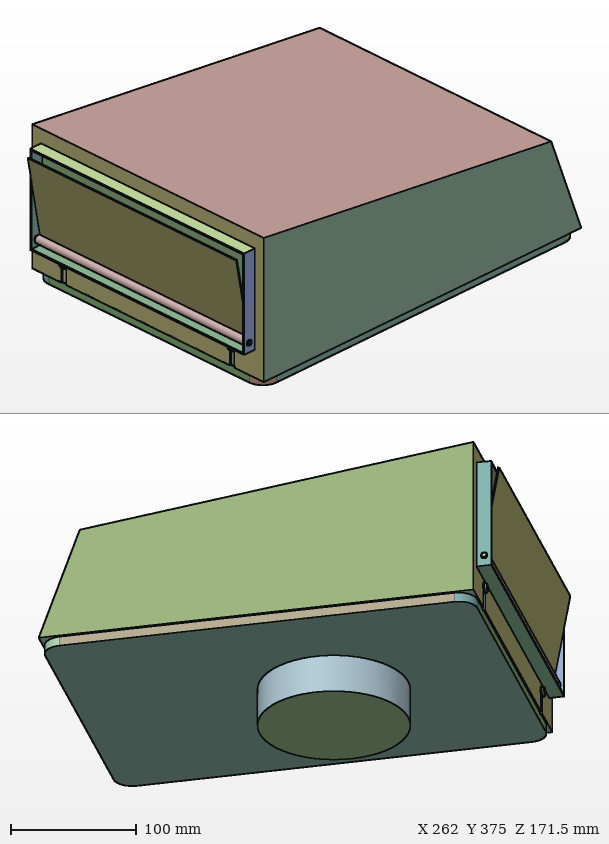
import cadquery as cq
import math


width = 262.0
base_depth = 357.0
front_height = 131.5
back_height = 92.3
back_lean = 33.8

plate_side_inset = 2.3
plate_end_inset = 1.0
plate_thickness = 8.0
plate_corner_radius = 15.5

duct_diameter = 122.0
duct_length = 32.0
duct_setback = 147.0

frame_width = 241.5
frame_height = 92.5
frame_bottom = 25.5
frame_depth = 12.0
frame_wall = 1.5

flap_width = 235.5
flap_thickness = 1.0
flap_tip_reach = 18.0
flap_tip_height = 113.0
tube_radius = 3.8
tube_reach = 6.5
tube_height = 34.5
pin_radius = 2.5
pin_overhang = 1.0
pin_end_chamfer = 0.8

screw_spacing = 190.2
screw_height = 18.8
screw_head_radius = 4.5
screw_head_height = 2.5
screw_head_chamfer = 1.5
socket_width = 3.0
socket_depth = 1.5
slot_width = 5.5
slot_depth = 2.0


def x_cylinder(radius, length):
    """Cylinder along X, centred on the flap hinge axis."""
    return (
        cq.Workplane("YZ", origin=(-length / 2, -tube_reach, tube_height))
        .circle(radius)
        .extrude(length)
    )


def make_housing():
    profile = [
        (0, 0),
        (base_depth, 0),
        (base_depth - back_lean, back_height),
        (0, front_height),
    ]
    return cq.Workplane("YZ", origin=(-width / 2, 0, 0)).polyline(profile).close().extrude(width)


def make_plate():
    return (
        cq.Workplane("XY", origin=(0, base_depth / 2, -plate_thickness))
        .rect(width - 2 * plate_side_inset, base_depth - 2 * plate_end_inset)
        .extrude(plate_thickness)
        .edges("|Z")
        .fillet(plate_corner_radius)
    )


def make_duct():
    return (
        cq.Workplane("XY", origin=(0, duct_setback, -plate_thickness))
        .circle(duct_diameter / 2)
        .extrude(-duct_length)
    )


def make_frame():
    return (
        cq.Workplane("XZ", origin=(0, 0, frame_bottom + frame_height / 2))
        .rect(frame_width, frame_height)
        .rect(frame_width - 2 * frame_wall, frame_height - 2 * frame_wall)
        .extrude(frame_depth)
    )


def make_flap():
    """Tube on its pin, with a sheet tangent to the inner side of the tube and rising to the tip."""
    face_offset = tube_radius - flap_thickness
    tip_out = flap_tip_reach - tube_reach
    tip_up = flap_tip_height - tube_height
    tip_distance = math.hypot(tip_out, tip_up)
    tilt = math.atan2(tip_out, tip_up) + math.asin(face_offset / tip_distance)
    sheet_length = math.sqrt(tip_distance**2 - face_offset**2)
    sheet = (
        cq.Workplane("XY")
        .box(flap_width, flap_thickness, sheet_length, centered=(True, False, False))
        .translate((0, face_offset, 0))
        .rotate((0, 0, 0), (1, 0, 0), math.degrees(tilt))
        .translate((0, -tube_reach, tube_height))
    )
    tube = x_cylinder(tube_radius, flap_width)
    pin_length = frame_width + 2 * pin_overhang
    pin = x_cylinder(pin_radius, pin_length).edges("%CIRCLE").chamfer(pin_end_chamfer)
    return sheet.union(tube).union(pin)


def make_slot(x):
    """Shallow slot with a round top at the screw, open at the lower edge of the housing."""
    top = cq.Workplane("XZ", origin=(x, 0, screw_height)).circle(slot_width / 2).extrude(-slot_depth)
    leg = cq.Workplane("XY").box(slot_width, slot_depth, screw_height, centered=(True, False, False))
    return top.union(leg.translate((x, 0, 0)))


def make_screw(x):
    shank = (
        cq.Workplane("XZ", origin=(x, slot_depth, screw_height))
        .circle(slot_width / 2)
        .extrude(slot_depth)
    )
    head = (
        cq.Workplane("XZ", origin=(x, 0, screw_height))
        .circle(screw_head_radius)
        .extrude(screw_head_height)
        .faces("<Y")
        .chamfer(screw_head_chamfer)
        .faces("<Y")
        .workplane()
        .polygon(6, socket_width)
        .cutBlind(-socket_depth)
    )
    return shank.union(head)


result = make_housing().union(make_plate()).union(make_duct())
for screw_x in (-screw_spacing / 2, screw_spacing / 2):
    result = result.cut(make_slot(screw_x)).union(make_screw(screw_x))
result = result.union(make_frame()).union(make_flap())